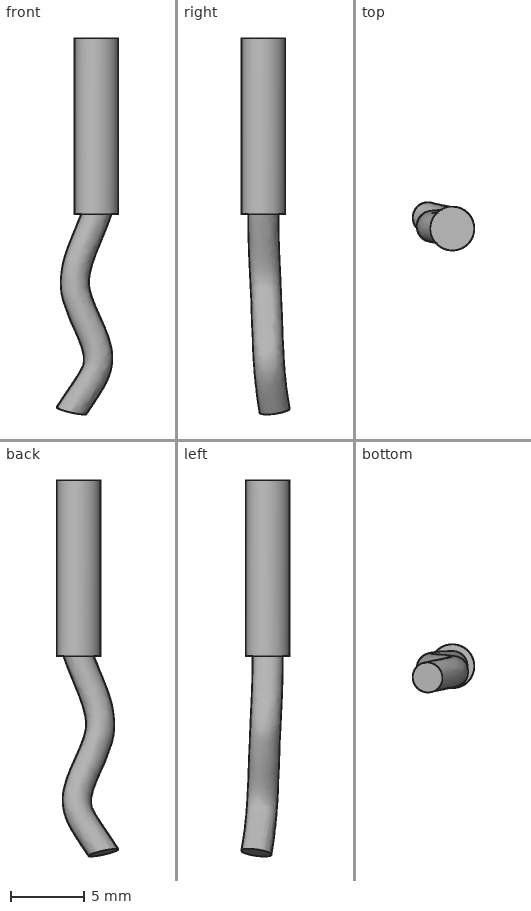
import cadquery as cq

sleeve_diameter = 3.0
sleeve_length = 12.0

cable_diameter = 2.08
cable_points = [
    (0, 0, 0),
    (-1.4, 0.18, -5.35),
    (0.1, 0.35, -9.77),
    (-1.7, 0.77, -13.42),
]
cable_start_direction = (-0.36, 0, -1)
cable_end_direction = (-0.58, 0.15, -0.9)


def make_sleeve():
    return cq.Workplane("XY").circle(sleeve_diameter / 2).extrude(sleeve_length)


def make_cable():
    path = cq.Workplane("XY").spline(
        cable_points, tangents=[cable_start_direction, cable_end_direction]
    )
    return cq.Workplane("XY").circle(cable_diameter / 2).sweep(path)


result = make_sleeve().union(make_cable())